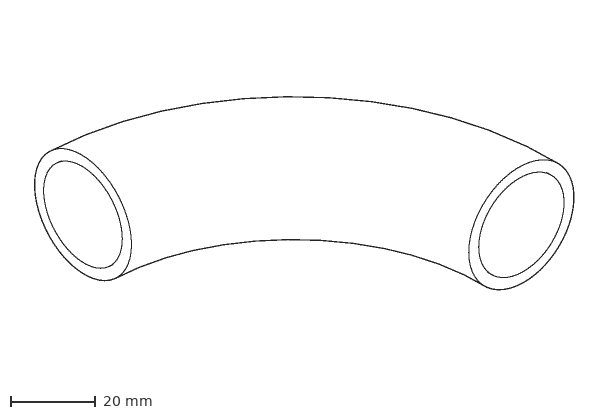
import cadquery as cq

overall_length = 89.85
outer_diameter = 33.7
bore_diameter = 27.3
bend_angle = 90.0

bend_radius = overall_length - outer_diameter / 2

tube_section = (
    cq.Workplane("XZ")
    .center(-bend_radius, 0)
    .circle(outer_diameter / 2)
    .circle(bore_diameter / 2)
)

axis_start = (bend_radius, 0)
axis_end = (bend_radius, -1)
result = tube_section.revolve(bend_angle, axis_start, axis_end)